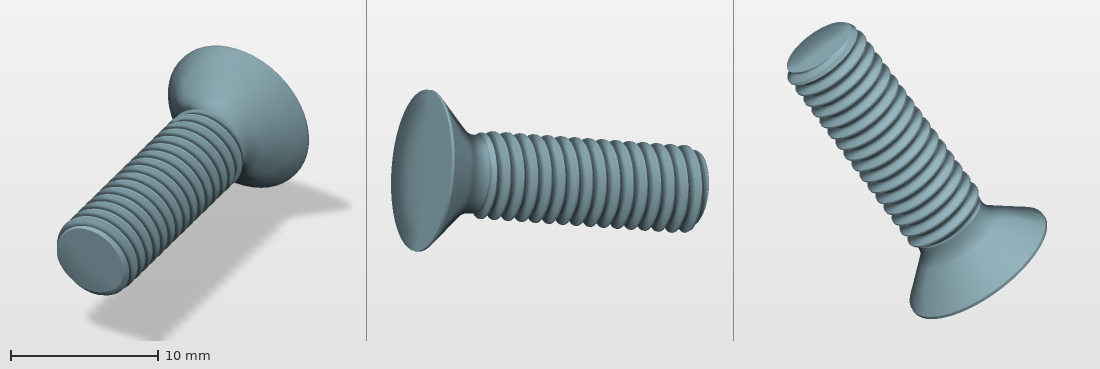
import cadquery as cq
import math


total_length = 20.0
head_radius = 11.0 / 2
head_rim_height = 0.2
cone_half_angle = math.radians(45)
neck_fillet_radius = 1.5
thread_radius = 6.0 / 2
thread_pitch = 1.0
thread_start = 3.95
runout_height = 0.36
tip_radius = 2.6
tip_chamfer_height = 0.65

flank_half_angle = math.radians(30)
neck_radius = thread_radius - 0.32476 * thread_pitch
root_radius = thread_radius - 0.61343 * thread_pitch
crest_width = thread_pitch / 8
flank_height = (thread_radius - root_radius) * math.tan(flank_half_angle)

tooth_profile = [
    (root_radius, 0),
    (thread_radius, flank_height),
    (thread_radius, flank_height + crest_width),
    (root_radius, 2 * flank_height + crest_width),
    (root_radius, thread_pitch),
]
spare_turns = 2
trim_radius = thread_radius + 0.5
trim_height = 3 * thread_pitch

axis_start = cq.Vector(0, 0, 0)
x_direction = cq.Vector(1, 0, 0)

fillet_center_radius = neck_radius + neck_fillet_radius
cone_end_radius = fillet_center_radius - neck_fillet_radius * math.cos(cone_half_angle)
cone_height = (head_radius - cone_end_radius) / math.tan(cone_half_angle)
cone_end = head_rim_height + cone_height
fillet_end = cone_end + neck_fillet_radius * math.sin(cone_half_angle)
fillet_mid_angle = cone_half_angle / 2
fillet_mid = (
    fillet_center_radius - neck_fillet_radius * math.cos(fillet_mid_angle),
    -fillet_end + neck_fillet_radius * math.sin(fillet_mid_angle),
)


def revolve_about_y(profile):
    """Turn a closed (radius, Y) outline once around the Y axis."""
    return profile.close().revolve(360, (0, 0, 0), (0, 1, 0))


def make_head():
    """Rim, cone, fillet and plain neck."""
    profile = (
        cq.Workplane("XY")
        .lineTo(head_radius, 0)
        .lineTo(head_radius, -head_rim_height)
        .lineTo(cone_end_radius, -cone_end)
        .threePointArc(fillet_mid, (neck_radius, -fillet_end))
        .lineTo(neck_radius, -thread_start)
        .lineTo(0, -thread_start)
    )
    return revolve_about_y(profile)


def thread_helix(radius, start_y):
    """One right-handed turn around +Y, starting on the +X side."""
    helix = cq.Wire.makeHelix(thread_pitch, thread_pitch, radius)
    return helix.rotate(axis_start, x_direction, -90).translate(cq.Vector(0, start_y, 0))


def make_turn_faces(start_y):
    """Lower flank, crest, upper flank and root of one turn, as helical strips."""
    helices = [thread_helix(radius, start_y + height) for radius, height in tooth_profile]
    return [cq.Face.makeRuledSurface(low, high) for low, high in zip(helices, helices[1:])]


def make_end_cap(cap_y):
    """Close one end of the rod: a helical ramp from the axis and a half-section of one pitch."""
    axis_line = cq.Edge.makeLine(
        cq.Vector(0, cap_y, 0), cq.Vector(0, cap_y + thread_pitch, 0)
    )
    ramp = cq.Face.makeRuledSurface(axis_line, thread_helix(root_radius, cap_y).Edges()[0])
    corners = [cq.Vector(radius, cap_y + height, 0) for radius, height in tooth_profile]
    corners += [cq.Vector(0, cap_y + thread_pitch, 0), cq.Vector(0, cap_y, 0)]
    section = cq.Face.makeFromWires(cq.Wire.makePolygon(corners, close=True))
    return [ramp, section]


def make_threaded_rod():
    """Rod with a right-handed thread that runs past both ends of the threaded length."""
    whole_pitches = math.ceil((total_length - thread_start) / thread_pitch)
    turns = whole_pitches + 2 * spare_turns
    crest_center = flank_height + crest_width / 2
    rod_start = -total_length - spare_turns * thread_pitch + thread_pitch / 4 - crest_center
    rod_end = rod_start + turns * thread_pitch
    faces = []
    for turn in range(turns):
        faces += make_turn_faces(rod_start + turn * thread_pitch)
    faces += make_end_cap(rod_start)
    faces += make_end_cap(rod_end)
    return cq.Workplane(obj=cq.Solid.makeSolid(cq.Shell.makeShell(faces)))


def make_end_trim(end_radius, end_y, inward_slope):
    """Everything beyond an end plane and outside the cone that rises inwards from it."""
    cone_y = end_y + inward_slope * (trim_radius - end_radius)
    outer_y = end_y - math.copysign(trim_height, inward_slope)
    profile = (
        cq.Workplane("XY")
        .moveTo(0, end_y)
        .lineTo(end_radius, end_y)
        .lineTo(trim_radius, cone_y)
        .lineTo(trim_radius, outer_y)
        .lineTo(0, outer_y)
    )
    return revolve_about_y(profile)


def make_thread():
    """Threaded rod tapered down to the neck and chamfered at the tip."""
    runout_slope = -runout_height / (thread_radius - neck_radius)
    tip_slope = tip_chamfer_height / (thread_radius - tip_radius)
    runout_trim = make_end_trim(neck_radius, -thread_start, runout_slope)
    tip_trim = make_end_trim(tip_radius, -total_length, tip_slope)
    return make_threaded_rod().cut(runout_trim).cut(tip_trim)


result = make_head().union(make_thread())